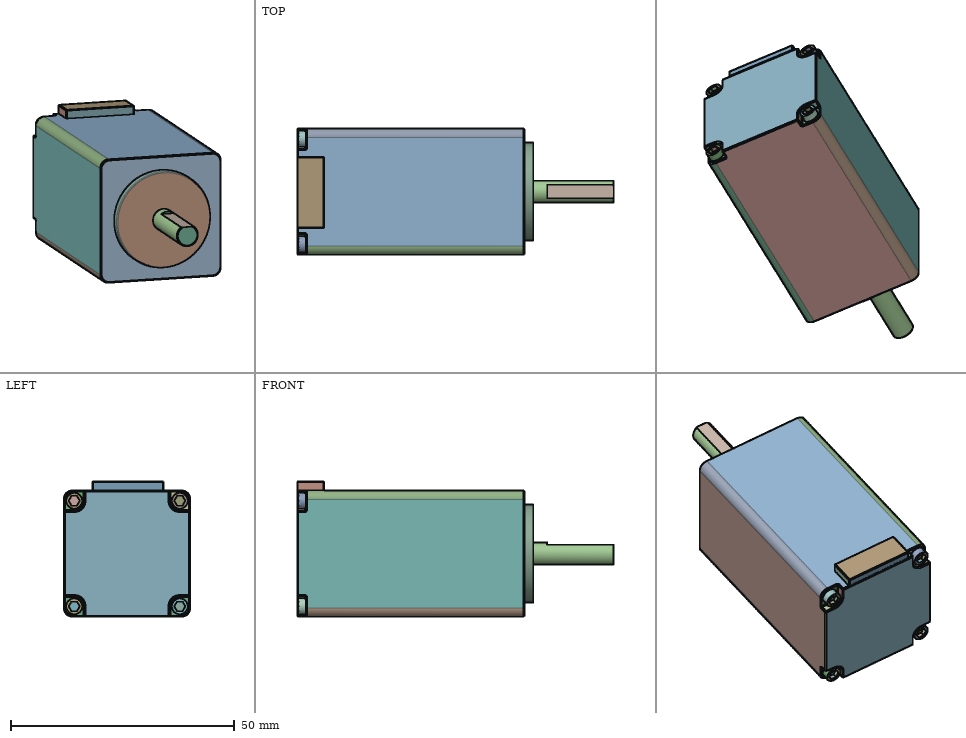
import cadquery as cq

total_length = 71
boss_length = 2.0
shaft_length = 18.0
housing_length = total_length - boss_length - shaft_length

housing_width = 28.3
housing_half = housing_width / 2
corner_radius = 2.0
edge_chamfer = 0.3

boss_diameter = 22.0
boss_fillet = 0.2
shaft_diameter = 5.0
flat_length = 15.0
flat_depth = 0.5
shaft_chamfer = 0.2

screw_inset = 2.35
screw_offset = housing_half - screw_inset
head_height = 1.7
head_diameter = 3.55
hex_across_corners = 2.5
hex_depth = 1.0
pocket_radius = 2.3
pocket_size = screw_inset + pocket_radius
pocket_depth = 2.0
pocket_floor_chamfer = 0.2

connector_length = 6.1
connector_width = 16.0
connector_height = 2.0
connector_chamfer = 0.2
connector_shift = -0.2

corner_signs = [(y_sign, z_sign) for y_sign in (-1, 1) for z_sign in (-1, 1)]


def cylinder_along_x(start, length, diameter, y=0, z=0):
    return cq.Workplane("YZ", origin=(start, y, z)).circle(diameter / 2).extrude(length)


def make_pocket(y_sign, z_sign):
    """Corner pocket with an inner corner rounded around the screw axis and a beveled floor edge."""
    center = housing_half - pocket_size / 2
    pocket = cq.Workplane("YZ", origin=(0, y_sign * center, z_sign * center))
    pocket = pocket.rect(pocket_size, pocket_size).extrude(pocket_depth)
    y_inner = "<Y" if y_sign > 0 else ">Y"
    z_inner = "<Z" if z_sign > 0 else ">Z"
    pocket = pocket.edges(f"|X and {y_inner} and {z_inner}").fillet(pocket_radius)
    floor_edges = pocket.faces(">X").edges(f"{y_inner} or {z_inner} or %CIRCLE")
    return floor_edges.chamfer(pocket_floor_chamfer)


def make_housing():
    housing = cq.Workplane("YZ").rect(housing_width, housing_width).extrude(housing_length)
    housing = housing.edges("|X").fillet(corner_radius)
    housing = housing.faces(">X").edges().chamfer(edge_chamfer)
    for y_sign, z_sign in corner_signs:
        housing = housing.cut(make_pocket(y_sign, z_sign))
    margin = 0.1
    inside = housing_half - corner_radius / 2
    rear_edges = cq.selectors.BoxSelector(
        (-margin, -housing_width, -housing_width),
        (pocket_depth + margin, housing_width, housing_width),
    )
    inner_edges = cq.selectors.BoxSelector(
        (margin, -inside, -inside),
        (pocket_depth + margin, inside, inside),
    )
    return housing.edges(rear_edges - inner_edges).chamfer(edge_chamfer)


def make_screw_head(y_sign, z_sign):
    """Socket head standing on the pocket floor."""
    start = pocket_depth - head_height
    y = y_sign * screw_offset
    z = z_sign * screw_offset
    head = cylinder_along_x(start, head_height, head_diameter, y, z)
    socket = cq.Workplane("YZ", origin=(start, y, z)).polygon(6, hex_across_corners).extrude(hex_depth)
    return head.cut(socket)


def make_connector():
    block = cq.Workplane("XY", origin=(connector_length / 2, connector_shift, housing_half))
    block = block.rect(connector_length, connector_width).extrude(connector_height)
    return block.edges("|Z or >Z").chamfer(connector_chamfer)


def make_shaft():
    shaft = cylinder_along_x(total_length - shaft_length, shaft_length, shaft_diameter)
    shaft = shaft.faces(">X").edges().chamfer(shaft_chamfer)
    flat = cq.Workplane("XY").box(flat_length, shaft_diameter, shaft_diameter)
    return shaft.cut(
        flat.translate((total_length - flat_length / 2, 0, shaft_diameter - flat_depth))
    )


boss = cylinder_along_x(housing_length, boss_length, boss_diameter)
boss = boss.faces(">X").edges().fillet(boss_fillet)

result = make_housing().union(make_connector()).union(boss).union(make_shaft())
for y_sign, z_sign in corner_signs:
    result = result.union(make_screw_head(y_sign, z_sign))